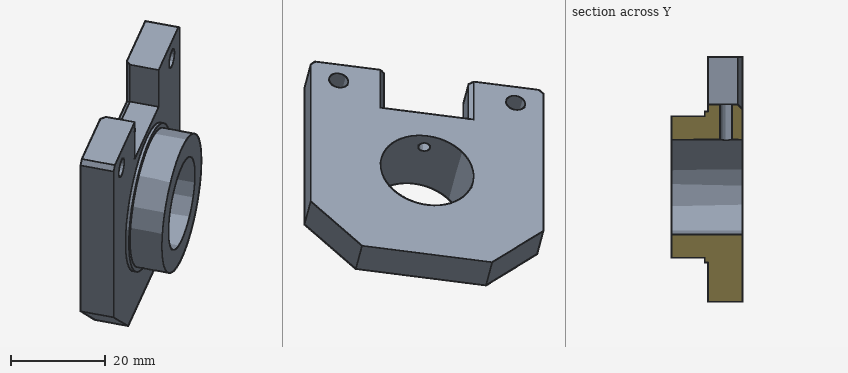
import cadquery as cq

plate_thickness = 7.3
plate_width = 50.0
plate_height = 51.75
bottom_corner_cut = 11.0
top_corner_cut = 1.0

total_depth = 15.0
axis_height = 24.25
bore_diameter = 20.0
boss_diameter = 29.95
shoulder_diameter = 32.0
shoulder_thickness = 0.7

notch_width = 18.1
notch_depth = 10.05
notch_chamfer = 1.0

mount_hole_diameter = 4.1
mount_hole_spacing = 38.0
mount_hole_drop = 4.65
set_hole_diameter = 2.5
set_hole_x = 3.45

notch_floor = plate_height - notch_depth


def cylinder_x(diameter, length, y, z):
    """Cylinder along +X starting at X = 0."""
    return cq.Workplane("YZ").center(y, z).circle(diameter / 2).extrude(length)


def make_plate():
    plate = cq.Workplane("XY").box(
        plate_thickness, plate_width, plate_height, centered=(False, True, False)
    )
    plate = plate.edges("|X and <Z").chamfer(bottom_corner_cut)
    return plate.edges("|X and >Z").chamfer(top_corner_cut)


def notch_corners(margin):
    """Notch section in YZ, grown by margin at the sides and floor."""
    half_width = notch_width / 2 + margin
    floor = notch_floor - margin
    top = plate_height + notch_chamfer
    return [(-half_width, floor), (half_width, floor), (half_width, top), (-half_width, top)]


def make_notch():
    straight = cq.Workplane("YZ").polyline(notch_corners(0)).close().extrude(plate_thickness)
    rim = (
        cq.Workplane("YZ")
        .polyline(notch_corners(notch_chamfer))
        .close()
        .workplane(offset=notch_chamfer)
        .polyline(notch_corners(0))
        .close()
        .loft(ruled=True)
    )
    return straight.union(rim)


def make_set_hole():
    """Vertical hole from the notch floor into the bore."""
    return (
        cq.Workplane("XY", origin=(set_hole_x, 0, axis_height))
        .circle(set_hole_diameter / 2)
        .extrude(notch_floor - axis_height)
    )


result = make_plate().cut(make_notch())
shoulder_end = plate_thickness + shoulder_thickness
result = result.union(
    cylinder_x(shoulder_diameter, shoulder_thickness, 0, axis_height).translate((plate_thickness, 0, 0))
)
result = result.union(
    cylinder_x(boss_diameter, total_depth - shoulder_end, 0, axis_height).translate((shoulder_end, 0, 0))
)
result = result.cut(cylinder_x(bore_diameter, total_depth, 0, axis_height))
for side in (-1, 1):
    hole_y = side * mount_hole_spacing / 2
    hole_z = plate_height - mount_hole_drop
    result = result.cut(cylinder_x(mount_hole_diameter, plate_thickness, hole_y, hole_z))
result = result.cut(make_set_hole())